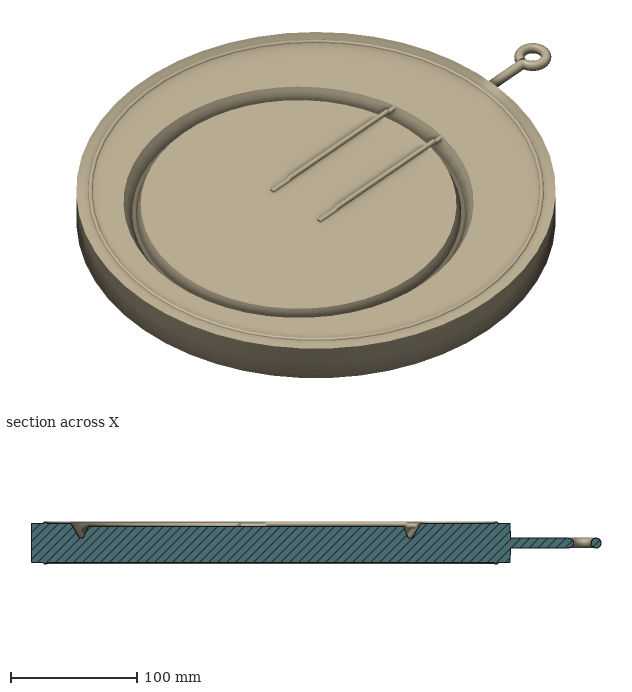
import cadquery as cq
import math

overall_length = 452.0
overall_height = 34.0
body_diameter = 380.0
body_radius = body_diameter / 2

seal_radius = 179.0
seal_wire_radius = 2.0
seal_height = 1.5
body_half_height = overall_height / 2 - seal_height

flap_center_y = -20.0
recess_rim_radius = 138.8
recess_floor_radius = 132.0
recess_depth = 11.5
flap_base_diameter = 258.0
flap_base_radius = flap_base_diameter / 2
flap_top_radius = 125.0
flap_drop = 2.3

spring_diameter = 4.0
spring_spacing = 51.5
spring_rim_y = 120.0
spring_outer_step_y = 107.0
spring_inner_step_y = -2.5
spring_tip_y = -23.5
spring_step_length = 2.0
spring_step_drop = 1.5
spring_axis_depth = 1.0
spring_axis_z = body_half_height - spring_axis_depth
spring_end_z = spring_axis_z - spring_step_drop

eye_wire_diameter = 8.0
eye_wire_radius = eye_wire_diameter / 2
eye_outer_diameter = 29.5
eye_outer_radius = eye_outer_diameter / 2
eye_ring_radius = eye_outer_radius - eye_wire_radius
eye_bend_radius = 4.5
eye_ring_sweep_degrees = 330.0
eye_center_y = overall_length - body_radius - eye_outer_radius
rod_embedment = 9.0
rod_start_y = body_radius - rod_embedment
rod_end_y = eye_center_y - math.sqrt((eye_ring_radius + eye_bend_radius) ** 2 - eye_bend_radius**2)


def make_body():
    return (
        cq.Workplane("XY", origin=(0, 0, -body_half_height))
        .circle(body_radius)
        .extrude(2 * body_half_height)
    )


def make_torus(ring_radius, wire_radius, center):
    torus = cq.Solid.makeTorus(ring_radius, wire_radius, cq.Vector(*center), cq.Vector(0, 0, 1))
    return cq.Workplane(obj=torus)


def make_seals():
    wire_z = overall_height / 2 - seal_wire_radius
    upper = make_torus(seal_radius, seal_wire_radius, (0, 0, wire_z))
    lower = make_torus(seal_radius, seal_wire_radius, (0, 0, -wire_z))
    return upper.union(lower)


def make_recess():
    """Tapered annular groove that leaves the lowered conical flap standing in its middle."""
    top = body_half_height
    floor = top - recess_depth
    flap_top = top - flap_drop
    return (
        cq.Workplane("XZ")
        .moveTo(0, top)
        .lineTo(recess_rim_radius, top)
        .lineTo(recess_floor_radius, floor)
        .lineTo(flap_base_radius, floor)
        .lineTo(flap_top_radius, flap_top)
        .lineTo(0, flap_top)
        .close()
        .revolve(360, (0, 0), (0, 1))
        .translate((0, flap_center_y, 0))
    )


def make_spring(x):
    path = (
        cq.Workplane("YZ", origin=(x, 0, 0))
        .moveTo(spring_rim_y, spring_end_z)
        .lineTo(spring_outer_step_y + spring_step_length, spring_end_z)
        .lineTo(spring_outer_step_y, spring_axis_z)
        .lineTo(spring_inner_step_y, spring_axis_z)
        .lineTo(spring_inner_step_y - spring_step_length, spring_end_z)
        .lineTo(spring_tip_y, spring_end_z)
    )
    return (
        cq.Workplane("XZ", origin=(x, spring_rim_y, spring_end_z))
        .circle(spring_diameter / 2)
        .sweep(path, transition="right")
    )


def make_lifting_eye():
    """Straight rod whose end bends sideways until it runs tangentially into a ring.

    The ring curls round until its free end meets the bend again.
    """
    join_angle = math.asin(eye_bend_radius / (eye_ring_radius + eye_bend_radius))
    bend_sweep_degrees = 90 - math.degrees(join_angle)

    ring = (
        cq.Workplane("YZ", origin=(0, eye_center_y, 0))
        .center(-eye_ring_radius, 0)
        .circle(eye_wire_radius)
        .revolve(eye_ring_sweep_degrees, (eye_ring_radius, 0), (eye_ring_radius, 1))
        .rotate((0, eye_center_y, 0), (0, eye_center_y, 1), math.degrees(join_angle))
    )
    rod = (
        cq.Workplane("XZ", origin=(0, rod_start_y, 0))
        .circle(eye_wire_radius)
        .extrude(rod_start_y - rod_end_y)
    )
    bend = (
        cq.Workplane("XZ", origin=(0, rod_end_y, 0))
        .circle(eye_wire_radius)
        .revolve(bend_sweep_degrees, (eye_bend_radius, 4.5), (eye_bend_radius, 0))
    )
    return ring.union(rod.union(bend))


result = make_body().union(make_seals()).cut(make_recess())
for side in (-1, 1):
    result = result.union(make_spring(side * spring_spacing / 2))
result = result.union(make_lifting_eye())